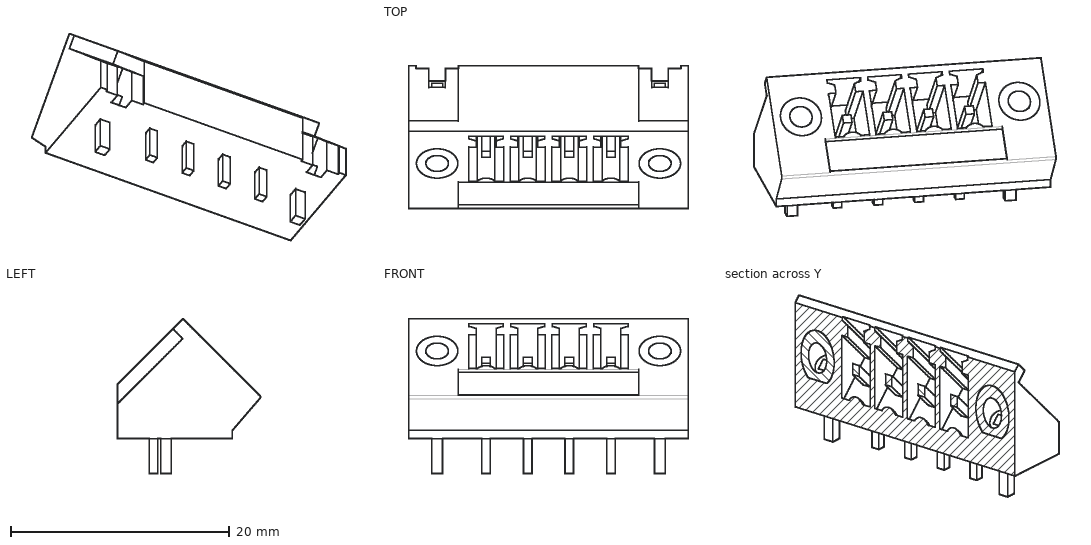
import cadquery as cq
import math


DIAGONAL = 1 / math.sqrt(2)

length = 25.63
height = 11.0
ridge_y = -6.0
face_length = 9.96
edge_radius = 0.2
foot_y = -10.53
foot_height = 0.75

middle_length = 16.53
end_drop = 1.28
end_strip_depth = 1.32
back_relief_depth = 0.25
back_relief_margin = 0.69

contact_count = 4
pitch = 3.81
cavity_depth = 6.0
cavity_width = 3.22
cavity_top = 2.08
cavity_bottom = 6.47
key_top = 0.7
key_wing_edge = 1.0
key_wing_root = 1.27
key_width = 3.14
neck_width = 1.84
rib_radius = 1.03
rib_height = 0.38
recess_top = 6.57

axis_down = 4.2
leg_length = 3.2
contact_size = 0.8
contact_tip_depth = 1.2
contact_leg_y = -3.29
mount_x = 10.2
mount_size = 1.0
mount_leg_y = -4.44
mount_tail_depth = 9.92
insert_radius = 1.9
insert_bore_radius = 1.03
insert_length = 5.0

slot_width = 1.5
slot_end_depth = 6.96
slot_floor = 4.525

past_back_wall = 12.0

contact_xs = [(i - (contact_count - 1) / 2) * pitch for i in range(contact_count)]
mount_xs = [-mount_x, mount_x]
face_plane = cq.Plane(origin=(0, ridge_y, height), xDir=(1, 0, 0), normal=(0, -1, 1))


def section_point(down, depth):
    """(Y, Z) of the point `down` the mating face from the ridge and `depth` behind it."""
    y = ridge_y - (down - depth) * DIAGONAL
    z = height - (down + depth) * DIAGONAL
    return (y, z)


def bar_line_z(down, y):
    """Z at the given Y on the line that runs square into the mating face at `down`."""
    return height + ridge_y - 2 * down * DIAGONAL - y


def across(sketch, center_x, width):
    """Extrude a YZ section to the given width, centred on center_x."""
    return sketch.extrude(width / 2, both=True).translate((center_x, 0, 0))


def section(points):
    return cq.Workplane("YZ").polyline(points).close()


def rounded_block():
    arc_shift = edge_radius * DIAGONAL
    return across(
        cq.Workplane("YZ")
        .moveTo(0, 0)
        .lineTo(0, height + ridge_y)
        .lineTo(ridge_y, height)
        .lineTo(*section_point(face_length, 0))
        .threePointArc(
            section_point(face_length + arc_shift, edge_radius - arc_shift),
            section_point(face_length + edge_radius, edge_radius),
        )
        .lineTo(foot_y, foot_height)
        .lineTo(foot_y, 0)
        .close(),
        0,
        length,
    )


def tilted_box(down_start, down_end, depth_start, depth_end, center_x, width):
    """Box aligned with the mating face, from section distances down the face and behind it."""
    corners = [
        (down_start, depth_start),
        (down_end, depth_start),
        (down_end, depth_end),
        (down_start, depth_end),
    ]
    return across(section([section_point(*corner) for corner in corners]), center_x, width)


def lowered_end(center_x):
    """Material removed from the rear slope over one end."""
    width = (length - middle_length) / 2
    return tilted_box(0, end_drop, end_strip_depth, past_back_wall, center_x, width)


def rear_slot(center_x):
    """Slot in a lowered end, open to the rear and the underside, over a mounting pin's tail."""
    return tilted_box(0, slot_floor, slot_end_depth, past_back_wall, center_x, slot_width)


def back_relief(side):
    """Shallow relief in the back wall beside the raised middle, on side -1 or 1."""
    width = (length - middle_length) / 2 - back_relief_margin
    center_x = side * (middle_length + width) / 2
    return (
        cq.Workplane("XY")
        .center(center_x, -back_relief_depth / 2)
        .rect(width, back_relief_depth)
        .extrude(height)
    )


def face_recess():
    """Recess with a rounded upper rim, ending at a half-round lip on the front edge."""
    r = edge_radius
    arc_shift = r * DIAGONAL
    lip_top = face_length
    return across(
        cq.Workplane("YZ")
        .moveTo(*section_point(recess_top, 0))
        .threePointArc(
            section_point(recess_top + arc_shift, r - arc_shift),
            section_point(recess_top + r, r),
        )
        .lineTo(*section_point(lip_top - r, r))
        .threePointArc(
            section_point(lip_top - arc_shift, r - arc_shift),
            section_point(lip_top, 0),
        )
        .close(),
        0,
        middle_length,
    )


def cavity(center_x):
    """Contact cavity with a flared key slot above it and a round rib left on its lower wall."""
    neck = neck_width / 2
    wing = key_width / 2
    wall = cavity_width / 2
    outline = [
        (-wing, -key_top),
        (wing, -key_top),
        (wing, -key_wing_edge),
        (neck, -key_wing_root),
        (neck, -cavity_top),
        (wall, -cavity_top),
        (wall, -cavity_bottom),
        (-wall, -cavity_bottom),
        (-wall, -cavity_top),
        (-neck, -cavity_top),
        (-neck, -key_wing_root),
        (-wing, -key_wing_edge),
    ]
    opening = cq.Workplane(face_plane).polyline(outline).close().extrude(-cavity_depth)
    rib_center_y = -cavity_bottom + rib_height - rib_radius
    rib = (
        cq.Workplane(face_plane)
        .center(0, rib_center_y)
        .circle(rib_radius)
        .extrude(-cavity_depth)
    )
    return opening.cut(rib).translate((center_x, 0, 0))


def contact(center_x):
    """Square bar along the plug direction that bends into a vertical solder leg."""
    half = contact_size / 2
    leg_front = contact_leg_y - half
    leg_back = contact_leg_y + half
    outline = [
        section_point(axis_down - half, contact_tip_depth),
        section_point(axis_down + half, contact_tip_depth),
        (leg_front, bar_line_z(axis_down + half, leg_front)),
        (leg_front, -leg_length),
        (leg_back, -leg_length),
        (leg_back, bar_line_z(axis_down - half, leg_back)),
    ]
    return across(section(outline), center_x, contact_size)


def mounting_pin(center_x):
    """Square bar behind an insert, with a vertical solder leg and a tail reaching the slot."""
    half = mount_size / 2
    leg_front = mount_leg_y - half
    leg_back = mount_leg_y + half
    outline = [
        section_point(axis_down - half, insert_length),
        section_point(axis_down + half, insert_length),
        (leg_front, bar_line_z(axis_down + half, leg_front)),
        (leg_front, -leg_length),
        (leg_back, -leg_length),
        (leg_back, bar_line_z(axis_down + half, leg_back)),
        section_point(axis_down + half, mount_tail_depth),
        section_point(axis_down - half, mount_tail_depth),
    ]
    return across(section(outline), center_x, mount_size)


def insert_cylinder(center_x, radius):
    return (
        cq.Workplane(face_plane)
        .center(center_x, -axis_down)
        .circle(radius)
        .extrude(-insert_length)
    )


def threaded_insert(center_x):
    """Plain bushing, flush with the mating face, standing for the threaded insert."""
    return insert_cylinder(center_x, insert_radius).cut(
        insert_cylinder(center_x, insert_bore_radius)
    )


contacts = [contact(x) for x in contact_xs]
mounting_pins = [mounting_pin(x) for x in mount_xs]
inserts = [threaded_insert(x) for x in mount_xs]

housing = rounded_block().cut(face_recess())
end_center_x = (length + middle_length) / 4
for side in (-1, 1):
    housing = housing.cut(lowered_end(side * end_center_x)).cut(back_relief(side))
for x in contact_xs:
    housing = housing.cut(cavity(x))
for x in mount_xs:
    housing = housing.cut(rear_slot(x))
    housing = housing.cut(insert_cylinder(x, insert_radius))
for pin in contacts + mounting_pins:
    housing = housing.cut(pin)

bodies = [housing] + contacts + mounting_pins + inserts
result = cq.Compound.makeCompound([body.val() for body in bodies])